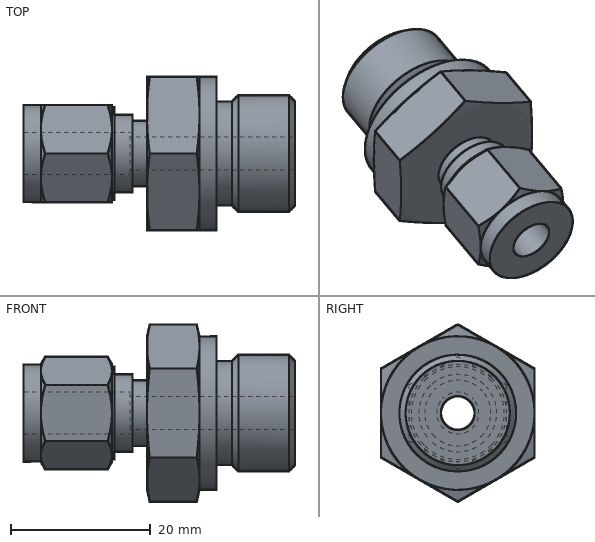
import cadquery as cq


collar_end = 2.5
nut_end = 12.7
nut_washer_end = 13.05
ferrule_seat_end = 15.65
body_hex_start = 17.7
body_hex_end = 25.2
flange_end = 27.65
relief_end = 29.88
length = 38.9

nut_flats = 13.95
body_flats = 22.0
nut_washer_diameter = 13.3
ferrule_seat_diameter = 11.13
neck_diameter = 9.45
relief_diameter = 14.95
thread_diameter = 16.73
bore_diameter = 4.8
tube_socket_diameter = 6.0

collar_diameter = nut_flats
flange_diameter = body_flats

nut_corner_depth = 0.62
body_corner_depth = 0.4
thread_chamfer = (thread_diameter - relief_diameter) / 2
tube_socket_depth = 15.3

CORNERS_PER_FLATS = 2 / 3**0.5


def cylinder(start, end, diameter):
    """Round section between two stations on the axis."""
    return cq.Workplane("YZ", origin=(start, 0, 0)).circle(diameter / 2).extrude(end - start)


def chamfered_hexagon(start, end, flats, corner_depth):
    """Hexagon with corners at +Z and -Z, whose ends are coned down to the inscribed circle."""
    across_corners = flats * CORNERS_PER_FLATS
    prism = (
        cq.Workplane("YZ", origin=(start, 0, 0))
        .transformed(rotate=(0, 0, 90))
        .polygon(6, across_corners)
        .extrude(end - start)
    )
    cone_envelope = (
        cylinder(start, end, across_corners)
        .faces("<X or >X")
        .chamfer(corner_depth, (across_corners - flats) / 2)
    )
    return prism.intersect(cone_envelope)


def thread_section():
    """Plain cylinder in place of the thread, chamfered at both ends."""
    blank = cylinder(relief_end, length, thread_diameter)
    return blank.faces("<X or >X").chamfer(thread_chamfer)


result = (
    cylinder(0, collar_end, collar_diameter)
    .union(chamfered_hexagon(collar_end, nut_end, nut_flats, nut_corner_depth))
    .union(cylinder(nut_end, nut_washer_end, nut_washer_diameter))
    .union(cylinder(nut_washer_end, ferrule_seat_end, ferrule_seat_diameter))
    .union(cylinder(ferrule_seat_end, body_hex_start, neck_diameter))
)

result = (
    result.union(chamfered_hexagon(body_hex_start, body_hex_end, body_flats, body_corner_depth))
    .union(cylinder(body_hex_end, flange_end, flange_diameter))
    .union(cylinder(flange_end, relief_end, relief_diameter))
    .union(thread_section())
)

result = result.cut(cylinder(0, length, bore_diameter))
result = result.cut(cylinder(0, tube_socket_depth, tube_socket_diameter))